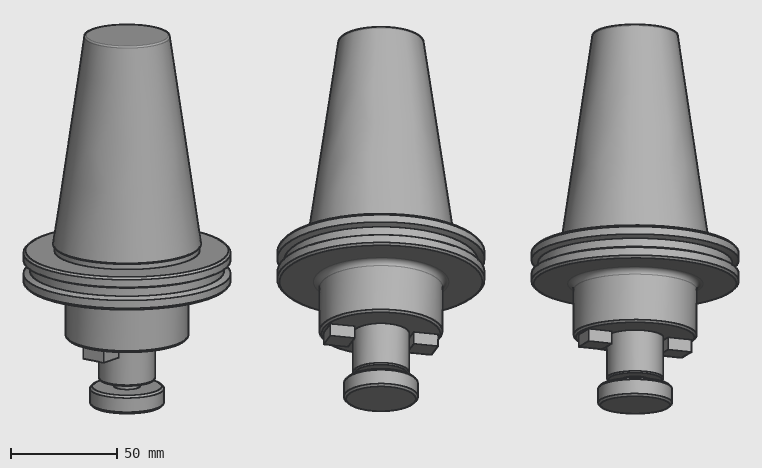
import cadquery as cq

total_height = 179.8
head_top = 9.0
pilot_bottom = 12.4
key_bottom = 27.0
body_bottom = 32.9
flange_bottom = 59.0
flange_top = 75.0
gauge_height = 78.2

head_radius = 17.5
neck_radius = 6.1
pilot_radius = 13.3
body_radius = 29.0
flange_radius = 48.7
gauge_radius = 34.9
relief_radius = 34.2

taper_ratio = 7 / 24
taper_top_radius = gauge_radius - (total_height - gauge_height) * taper_ratio / 2

groove_floor_radius = 45.7
groove_middle = 67.0
groove_opening = 6.5
groove_floor_width = 4.0

edge_chamfer = 1.0
taper_top_fillet = 0.9
pilot_chamfer = 0.7
body_fillet = 2.9

key_width = 12.0
key_inner = 14.4
key_outer = 26.2
key_embed = 1.8


def disc(radius, bottom, top):
    """Cylinder on the spindle axis between two heights."""
    return cq.Workplane("XY").workplane(offset=bottom).circle(radius).extrude(top - bottom)


def make_taper():
    cone = (
        cq.Workplane("XZ")
        .moveTo(0, flange_top)
        .lineTo(relief_radius, flange_top)
        .lineTo(relief_radius, gauge_height - (gauge_radius - relief_radius))
        .lineTo(gauge_radius, gauge_height)
        .lineTo(taper_top_radius, total_height)
        .lineTo(0, total_height)
        .close()
        .revolve(360, (0, 0), (0, 1))
    )
    return cone.faces(">Z").edges().fillet(taper_top_fillet)


def make_flange():
    rim = disc(flange_radius, flange_bottom, flange_top).edges().chamfer(edge_chamfer)
    groove = (
        cq.Workplane("XZ")
        .moveTo(flange_radius, groove_middle - groove_opening / 2)
        .lineTo(groove_floor_radius, groove_middle - groove_floor_width / 2)
        .lineTo(groove_floor_radius, groove_middle + groove_floor_width / 2)
        .lineTo(flange_radius, groove_middle + groove_opening / 2)
        .close()
        .revolve(360, (0, 0), (0, 1))
    )
    return rim.cut(groove)


def make_body():
    """Cylindrical body with a concave fillet running out into the flange."""
    return (
        cq.Workplane("XZ")
        .moveTo(0, body_bottom)
        .lineTo(body_radius - edge_chamfer, body_bottom)
        .lineTo(body_radius, body_bottom + edge_chamfer)
        .lineTo(body_radius, flange_bottom - body_fillet)
        .radiusArc((body_radius + body_fillet, flange_bottom), body_fillet)
        .lineTo(0, flange_bottom)
        .close()
        .revolve(360, (0, 0), (0, 1))
    )


def make_pilot_and_screw():
    pilot = disc(pilot_radius, pilot_bottom, body_bottom).faces("<Z").edges().chamfer(pilot_chamfer)
    neck = disc(neck_radius, head_top, pilot_bottom)
    head = disc(head_radius, 0, head_top).edges().chamfer(edge_chamfer)
    return pilot.union(neck).union(head)


def make_key(side):
    """Drive key on the +Y (side = 1) or -Y (side = -1) side of the pilot."""
    return (
        cq.Workplane("XY")
        .workplane(offset=key_bottom)
        .center(0, side * (key_inner + key_outer) / 2)
        .rect(key_width, key_outer - key_inner)
        .extrude(body_bottom + key_embed - key_bottom)
    )


result = make_flange().union(make_taper()).union(make_body()).union(make_pilot_and_screw())
for key_side in (1, -1):
    result = result.union(make_key(key_side))